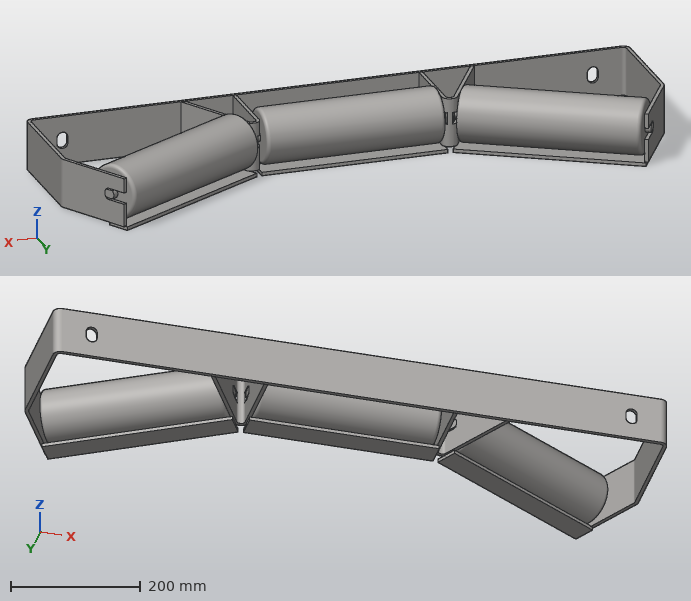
import cadquery as cq
import math

LENGTH = 980.0

SHEET = 6.0
STRIP_WIDTH = 79.0
STRIP_BOTTOM = SHEET
BEND_RADIUS = 12.0

ROLLER_DIAMETER = 89.0
ROLLER_LENGTH = 290.0
ROLLER_EDGE_RADIUS = 6.0
SHAFT_DIAMETER = 19.0
SHAFT_FLATS = 14.0
ROLLER_TOP = 97.0
AXIS_HEIGHT = ROLLER_TOP - ROLLER_DIAMETER / 2

LEG_GAP = 297.0
LEG_INNER = LEG_GAP / 2
LEG_OUTER = LEG_INNER + SHEET
SLOT_REACH = 49.0

TROUGH_ANGLE = 30.0
SIDE_ROLLER_X = 308.0
SIDE_ROLLER_Y = 183.0
CENTRE_ROLLER_Y = 102.0
ARM_RISE = 30.0
BRACKET_TOP = 127.0

GUARD_LENGTH = 303.0
GUARD_WIDTH = 36.0
GUARD_DROP = 2.0

MOUNT_SLOT_X = 431.0
MOUNT_SLOT_WIDTH = 18.0
MOUNT_SLOT_HEIGHT = 26.0

COS = math.cos(math.radians(TROUGH_ANGLE))
SIN = math.sin(math.radians(TROUGH_ANGLE))

STATIONS = [
    (-SIDE_ROLLER_X, SIDE_ROLLER_Y, -TROUGH_ANGLE),
    (0, CENTRE_ROLLER_Y, 0),
    (SIDE_ROLLER_X, SIDE_ROLLER_Y, TROUGH_ANGLE),
]


def at_station(body, station):
    """Move a body built about the X axis to a roller station."""
    x, y, tilt = station
    return body.rotate((0, 0, 0), (0, 0, 1), tilt).translate((x, y, 0))


def left_station_point(along, across):
    """A point given along and across the axis of the left roller."""
    x = -SIDE_ROLLER_X + along * COS + across * SIN
    y = SIDE_ROLLER_Y - along * SIN + across * COS
    return (x, y)


def left_station_x(along, y):
    """X at height y on the line square to the left roller's axis."""
    return -SIDE_ROLLER_X + (along + (y - SIDE_ROLLER_Y) * SIN) / COS


def left_station_y(along, x):
    """Y at the given x on the line square to the left roller's axis."""
    return SIDE_ROLLER_Y + ((x + SIDE_ROLLER_X) * COS - along) / SIN


def offset_path(path):
    """The path moved one sheet thickness to its right, with mitred corners."""
    normals = []
    for (x0, y0), (x1, y1) in zip(path, path[1:]):
        run = math.hypot(x1 - x0, y1 - y0)
        normals.append(((y1 - y0) / run, (x0 - x1) / run))
    before = [normals[0]] + normals
    after = normals + [normals[-1]]
    moved = []
    for (x, y), (ax, ay), (bx, by) in zip(path, before, after):
        reach = SHEET / (1 + ax * bx + ay * by)
        moved.append((x + reach * (ax + bx), y + reach * (ay + by)))
    return moved


def bent_strip(outer):
    """Upright strip whose outer face follows the path, with its corners bent round."""
    inner = offset_path(outer)
    strip = cq.Workplane("XY", origin=(0, 0, STRIP_BOTTOM)).polyline(outer + inner[::-1]).close()
    strip = strip.extrude(STRIP_WIDTH)
    middle = STRIP_BOTTOM + STRIP_WIDTH / 2
    for path, radius in ((outer, BEND_RADIUS), (inner, BEND_RADIUS - SHEET)):
        for x, y in path[1:-1]:
            corner = cq.selectors.NearestToPointSelector((x, y, middle))
            strip = strip.edges("|Z").edges(corner).fillet(radius)
    return strip


def shaft_slot():
    """Cutter for the round-bottomed, open-topped slots in the two legs of one roller."""
    floor = (
        cq.Workplane("YZ", origin=(-LEG_OUTER, 0, AXIS_HEIGHT))
        .circle(SHAFT_DIAMETER / 2)
        .extrude(2 * LEG_OUTER)
    )
    walls = cq.Workplane("XY").box(2 * LEG_OUTER, SLOT_REACH, SHAFT_DIAMETER, centered=(True, False, True))
    return floor.union(walls.translate((0, 0, AXIS_HEIGHT)))


def cut_shaft_slots(body):
    for station in STATIONS:
        body = body.cut(at_station(shaft_slot(), station))
    return body


def make_frame():
    """Base and the two end arms, bent from one strip."""
    side = -LENGTH / 2
    left_half = [
        (side, 0),
        (side, left_station_y(-LEG_OUTER, side)),
        left_station_point(-LEG_OUTER, ARM_RISE),
    ]
    right_half = [(-x, y) for x, y in reversed(left_half)]
    frame = bent_strip(right_half + left_half)
    mount_slots = (
        cq.Workplane("XZ", origin=(0, 0, STRIP_BOTTOM + STRIP_WIDTH / 2))
        .pushPoints([(-MOUNT_SLOT_X, 0), (MOUNT_SLOT_X, 0)])
        .slot2D(MOUNT_SLOT_HEIGHT, MOUNT_SLOT_WIDTH, 90)
        .extrude(-SHEET)
    )
    return cut_shaft_slots(frame.cut(mount_slots))


def make_left_bracket():
    """Sloping leg, short top and upright leg, bent from one strip and standing on the base."""
    path = [
        (left_station_x(LEG_INNER, 0), 0),
        (left_station_x(LEG_INNER, BRACKET_TOP), BRACKET_TOP),
        (-LEG_INNER, BRACKET_TOP),
        (-LEG_INNER, 0),
    ]
    bracket = bent_strip(path)
    below_base_face = cq.Workplane("XY").box(LENGTH, LENGTH, LENGTH).translate((0, SHEET - LENGTH / 2, 0))
    return cut_shaft_slots(bracket.cut(below_base_face))


def make_roller():
    """Roller and the shaft with flatted ends, as one solid along X."""
    roller = (
        cq.Workplane("YZ", origin=(-ROLLER_LENGTH / 2, 0, AXIS_HEIGHT))
        .circle(ROLLER_DIAMETER / 2)
        .extrude(ROLLER_LENGTH)
        .edges("%CIRCLE")
        .fillet(ROLLER_EDGE_RADIUS)
    )
    shaft = (
        cq.Workplane("YZ", origin=(-LEG_OUTER, 0, AXIS_HEIGHT))
        .circle(SHAFT_DIAMETER / 2)
        .extrude(2 * LEG_OUTER)
    )
    flats = cq.Workplane("XY").box(2 * LEG_OUTER, SHAFT_DIAMETER, SHAFT_FLATS)
    return roller.union(shaft.intersect(flats.translate((0, 0, AXIS_HEIGHT))))


def make_guard():
    """Flat plate under the legs of one roller."""
    plate = cq.Workplane("XY").box(GUARD_LENGTH, GUARD_WIDTH, SHEET, centered=(True, False, False))
    return plate.translate((0, -GUARD_DROP, 0))


frame = make_frame()
left_bracket = make_left_bracket()
brackets = [left_bracket, left_bracket.mirror("YZ")]
rollers = [at_station(make_roller(), station) for station in STATIONS]
guards = [at_station(make_guard(), station) for station in STATIONS]

bodies = [frame, *brackets, *rollers, *guards]
result = cq.Compound.makeCompound([body.val() for body in bodies])